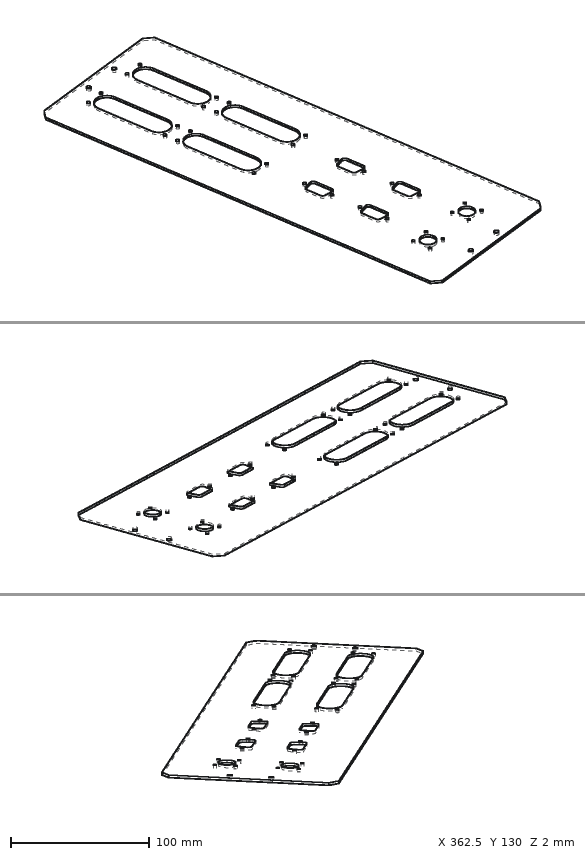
import cadquery as cq
import math

LENGTH = 362.5
WIDTH = 130.0
THICKNESS = 2.0
CORNER_CHAMFER = 6.0

MOUNT_DIAMETER = 3.5
MOUNT_X = 174.0
MOUNT_Y = 15.2

SLOT_CENTERS_X = (-127.5, -46.5)
SLOT_ROW_Y = 23.2
SLOT_LENGTH = 66.5
SLOT_WIDTH = 19.0
SLOT_SCREW_DIAMETER = 2.5
SLOT_SCREW_X = 34.8
SLOT_SCREW_Y = 7.5

D_CENTERS_X = (38.0, 88.5)
D_ROW_Y = 19.0
D_SCREW_ROW_Y = 19.2
D_TOP_WIDTH = 21.0
D_HEIGHT = 12.0
D_SIDE_ANGLE = 10.0
D_CORNER_RADIUS = 2.5
D_SCREW_DIAMETER = 2.5
D_SCREW_X = 12.5

ROUND_X = 141.0
ROUND_ROW_Y = 23.2
ROUND_DIAMETER = 12.7
ROUND_SCREW_DIAMETER = 2.25
ROUND_SCREW_OFFSET = 7.5


def corners(center_x, center_y, offset_x, offset_y):
    """Four points placed symmetrically about a center."""
    return [
        (center_x + side_x * offset_x, center_y + side_y * offset_y)
        for side_x in (-1, 1)
        for side_y in (-1, 1)
    ]


def round_cutters(points, diameter):
    return cq.Workplane("XY").pushPoints(points).circle(diameter / 2).extrude(THICKNESS)


def slot_cutter(x, y):
    slot = cq.Workplane("XY").center(x, y).slot2D(SLOT_LENGTH, SLOT_WIDTH).extrude(THICKNESS)
    screws = round_cutters(corners(x, y, SLOT_SCREW_X, SLOT_SCREW_Y), SLOT_SCREW_DIAMETER)
    return slot.add(screws).combine()


def d_cutter(x, y, screw_y):
    half_top = D_TOP_WIDTH / 2
    half_bottom = half_top - D_HEIGHT * math.tan(math.radians(D_SIDE_ANGLE))
    half_height = D_HEIGHT / 2
    outline = [
        (-half_top, half_height),
        (half_top, half_height),
        (half_bottom, -half_height),
        (-half_bottom, -half_height),
    ]
    opening = cq.Workplane("XY").center(x, y).polyline(outline).close().extrude(THICKNESS)
    opening = opening.edges("|Z").fillet(D_CORNER_RADIUS)
    screws = round_cutters([(x - D_SCREW_X, screw_y), (x + D_SCREW_X, screw_y)], D_SCREW_DIAMETER)
    return opening.add(screws).combine()


def round_cutter(x, y):
    opening = round_cutters([(x, y)], ROUND_DIAMETER)
    offset = ROUND_SCREW_OFFSET
    screws = round_cutters(corners(x, y, offset, offset), ROUND_SCREW_DIAMETER)
    return opening.add(screws).combine()


plate = cq.Workplane("XY").box(LENGTH, WIDTH, THICKNESS, centered=(True, True, False))
plate = plate.edges("|Z").chamfer(CORNER_CHAMFER)
plate = plate.cut(round_cutters(corners(0, 0, MOUNT_X, MOUNT_Y), MOUNT_DIAMETER))

for row in (-1, 1):
    for slot_x in SLOT_CENTERS_X:
        plate = plate.cut(slot_cutter(slot_x, row * SLOT_ROW_Y))
    for d_x in D_CENTERS_X:
        plate = plate.cut(d_cutter(d_x, row * D_ROW_Y, row * D_SCREW_ROW_Y))
    plate = plate.cut(round_cutter(ROUND_X, row * ROUND_ROW_Y))

result = plate